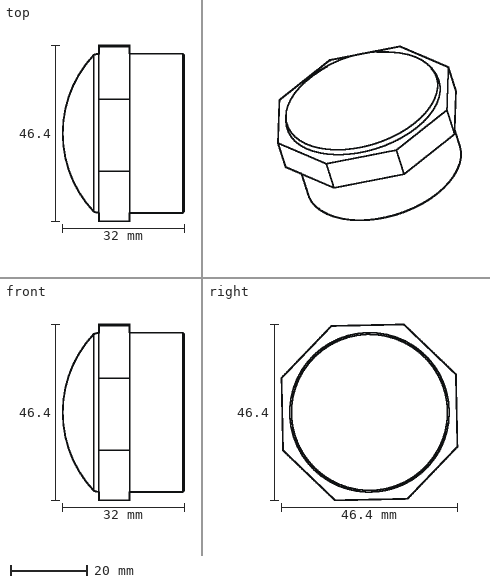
import cadquery as cq
import math


lens_diameter = 41.9
dome_edge_diameter = 41.25
dome_height = 8.15
lens_rim_width = 1.4

flange_sides = 8
flange_width = 8.1
flange_extent = 46.35
flange_turn = 1.2
plug_diameter = 42.0
plug_length = 14.37
plug_chamfer = 0.45

flange_start = dome_height + lens_rim_width
flange_end = flange_start + flange_width
side_angle = 360 / flange_sides
corner_radius = flange_extent / 2 / math.cos(math.radians(side_angle / 2 - flange_turn))


def make_lens():
    """Domed lens with a rounded rim, seated on the flange face."""
    edge_radius = dome_edge_diameter / 2
    dome_radius = (edge_radius**2 + dome_height**2) / (2 * dome_height)
    mid_angle = math.asin(edge_radius / dome_radius) / 2
    arc_middle = (dome_radius * (1 - math.cos(mid_angle)), dome_radius * math.sin(mid_angle))
    rim_drop = lens_diameter / 2 - edge_radius
    rim_radius = (lens_rim_width**2 + rim_drop**2) / (2 * rim_drop)
    rim_angle = math.asin(lens_rim_width / rim_radius) / 2
    rim_middle = (
        flange_start - rim_radius * math.sin(rim_angle),
        lens_diameter / 2 - rim_radius * (1 - math.cos(rim_angle)),
    )
    return (
        cq.Workplane("XY")
        .threePointArc(arc_middle, (dome_height, edge_radius))
        .threePointArc(rim_middle, (flange_start, lens_diameter / 2))
        .lineTo(flange_start, 0)
        .close()
        .revolve(360, (0, 0, 0), (1, 0, 0))
    )


def make_plug():
    """Octagonal flange with a round, chamfered plug behind it."""
    corner_angles = [math.radians(side_angle * (i + 0.5) + flange_turn) for i in range(flange_sides)]
    corners = [(corner_radius * math.cos(a), corner_radius * math.sin(a)) for a in corner_angles]
    flange = cq.Workplane("YZ", origin=(flange_start, 0, 0)).polyline(corners).close().extrude(flange_width)
    barrel = (
        cq.Workplane("YZ", origin=(flange_end, 0, 0))
        .circle(plug_diameter / 2)
        .extrude(plug_length)
        .faces(">X")
        .chamfer(plug_chamfer)
    )
    return flange.union(barrel)


lens = make_lens()
plug = make_plug()
result = cq.Compound.makeCompound([lens.val(), plug.val()])